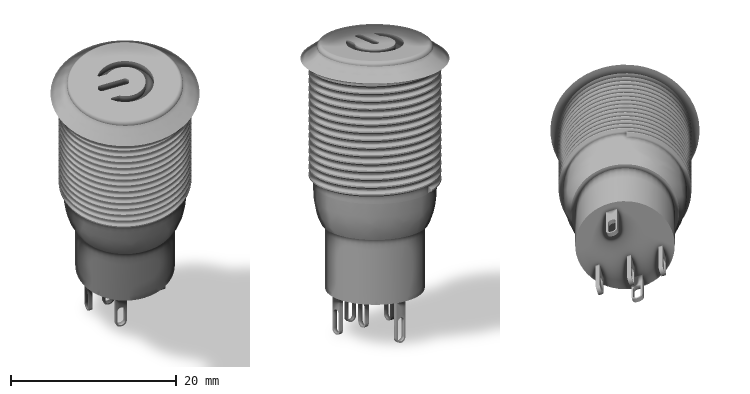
import cadquery as cq
import math


total_height = 37.1
head_height = 2.0
barrel_length = 16.0
taper_length = 4.97
base_length = 8.5
barrel_bottom = -barrel_length
taper_bottom = barrel_bottom - taper_length
base_bottom = taper_bottom - base_length
pin_tip = head_height - total_height

flange_diameter = 18.0
flange_radius = flange_diameter / 2
button_radius = 7.0
button_rounding = 0.52
barrel_radius = 7.5
base_radius = 6.0

taper_ellipse_width = 1.75
taper_ellipse_height = 5.55

thread_radius = 8.0
thread_pitch = 1.0
thread_turns = 16
thread_root_width = 0.8
thread_crest_width = 0.2
thread_start_z = -15.47
thread_start_angle = 110
thread_overlap = 0.15
fuse_tolerance = 0.001

symbol_depth = 1.0
symbol_outer_radius = 3.5
symbol_inner_radius = 2.5
symbol_gap = 3.95
symbol_tip_rounding = 0.2
symbol_bar_width = symbol_outer_radius - symbol_inner_radius
symbol_bar_travel = 3.0

pin_width = 1.4
pin_thickness = 0.52
pin_embed = 0.37
eyelet_width = 0.95
eyelet_length = 3.0
side_pin_x = 4.0
side_pin_y = -2.2
end_pin_y = 4.75


def taper_point(angle):
    """Point (radius, height) on the taper's ellipse; angle 0 is where it leaves the barrel."""
    radius = barrel_radius - taper_ellipse_width * (1 - math.cos(angle))
    height = barrel_bottom - taper_ellipse_height * math.sin(angle)
    return radius, height


def make_body():
    """Button, flange, barrel, tapered section and base as one revolved profile."""
    end_angle = math.asin(taper_length / taper_ellipse_height)
    taper_points = [taper_point(end_angle / 2), taper_point(end_angle)]
    end_tangent = (
        -taper_ellipse_width * math.sin(end_angle),
        -taper_ellipse_height * math.cos(end_angle),
    )
    profile = (
        cq.Workplane("XZ")
        .moveTo(0, head_height)
        .lineTo(button_radius - button_rounding, head_height)
        .radiusArc((button_radius, head_height - button_rounding), button_rounding)
        .lineTo(flange_radius, 0)
        .lineTo(barrel_radius, 0)
        .lineTo(barrel_radius, barrel_bottom)
        .spline(taper_points, tangents=[(0, -1), end_tangent], includeCurrent=True)
        .lineTo(base_radius, taper_bottom)
        .lineTo(base_radius, base_bottom)
        .lineTo(0, base_bottom)
        .close()
    )
    return profile.revolve(360, (0, 0, 0), (0, 1, 0))


def make_thread():
    """Trapezoidal ridge swept up a helix; its upper end is buried in the flange."""
    inner_radius = barrel_radius - thread_overlap
    helix = cq.Wire.makeHelix(thread_pitch, thread_pitch * thread_turns, barrel_radius)
    ridge = (
        cq.Workplane("XZ")
        .polyline([
            (inner_radius, -thread_root_width / 2),
            (barrel_radius, -thread_root_width / 2),
            (thread_radius, -thread_crest_width / 2),
            (thread_radius, thread_crest_width / 2),
            (barrel_radius, thread_root_width / 2),
            (inner_radius, thread_root_width / 2),
        ])
        .close()
        .sweep(cq.Workplane(helix), isFrenet=True)
    )
    return ridge.rotate((0, 0, 0), (0, 0, 1), thread_start_angle).translate((0, 0, thread_start_z))


def make_symbol():
    """Power symbol: an open ring with rounded tips and an upright round-ended bar."""
    gap = (
        cq.Workplane(origin=(0, -symbol_outer_radius, head_height))
        .rect(symbol_gap, 2 * symbol_outer_radius)
        .extrude(-symbol_depth)
    )
    ring = (
        cq.Workplane(origin=(0, 0, head_height))
        .circle(symbol_outer_radius)
        .circle(symbol_inner_radius)
        .extrude(-symbol_depth)
        .cut(gap)
    )
    tips = cq.selectors.BoxSelector(
        (-flange_radius, -symbol_outer_radius, 0),
        (flange_radius, -symbol_inner_radius, head_height),
    )
    ring = ring.edges("|Z").edges(tips).fillet(symbol_tip_rounding)
    bar = (
        cq.Workplane(origin=(0, -symbol_bar_travel / 2, head_height))
        .slot2D(symbol_bar_travel + symbol_bar_width, symbol_bar_width, 90)
        .extrude(-symbol_depth)
    )
    return ring.union(bar)


def make_pin(x, y, turn):
    """Flat pin with a round tip and an eyelet; at turn 0 its wide face looks along Y."""
    tip_centre = pin_tip + pin_width / 2
    pin_top = base_bottom + pin_embed
    eyelet_centre = tip_centre - eyelet_width / 2 + eyelet_length / 2
    pin = (
        cq.Workplane("XZ")
        .moveTo(-pin_width / 2, pin_top)
        .lineTo(-pin_width / 2, tip_centre)
        .threePointArc((0, pin_tip), (pin_width / 2, tip_centre))
        .lineTo(pin_width / 2, pin_top)
        .close()
        .extrude(pin_thickness / 2, both=True)
    )
    eyelet = (
        cq.Workplane("XZ", origin=(0, 0, eyelet_centre))
        .slot2D(eyelet_length, eyelet_width, 90)
        .extrude(pin_thickness, both=True)
    )
    return pin.cut(eyelet).rotate((0, 0, 0), (0, 0, 1), turn).translate((x, y, 0))


result = make_body().union(make_thread(), tol=fuse_tolerance).cut(make_symbol())

for x in (-side_pin_x, 0, side_pin_x):
    result = result.union(make_pin(x, side_pin_y, 90))

for y in (-end_pin_y, end_pin_y):
    result = result.union(make_pin(0, y, 0))